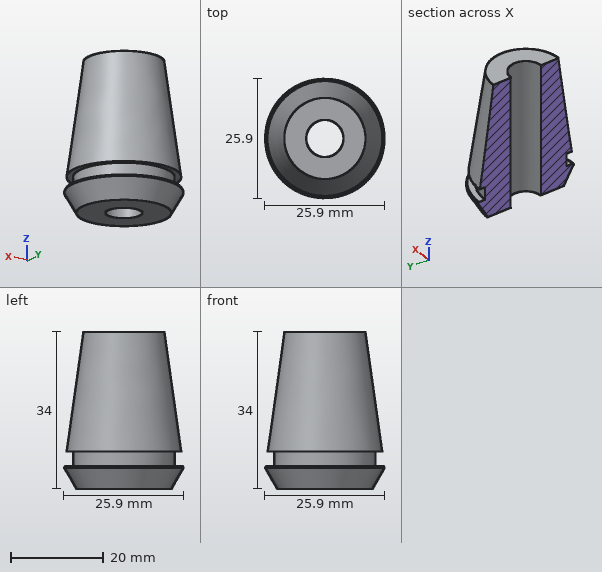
import cadquery as cq
import math

length = 34.0
bore_diameter = 8.0
groove_diameter = 22.0
collar_diameter = 25.86

collar_edge_z = 4.6
groove_bottom_z = 5.0
groove_top_z = 8.1

collar_chamfer_width = 0.25
taper_base_diameter = 24.85
taper_angle = 8.0
nose_angle = 30.0

bore_radius = bore_diameter / 2
groove_radius = groove_diameter / 2
collar_radius = collar_diameter / 2
collar_top_radius = collar_radius - collar_chamfer_width
taper_base_radius = taper_base_diameter / 2
taper_height = length - groove_top_z
top_radius = taper_base_radius - taper_height * math.tan(math.radians(taper_angle))
bottom_radius = collar_radius - collar_edge_z * math.tan(math.radians(nose_angle))

result = (
    cq.Workplane("XZ")
    .moveTo(bore_radius, 0)
    .lineTo(bottom_radius, 0)
    .lineTo(collar_radius, collar_edge_z)
    .lineTo(collar_top_radius, groove_bottom_z)
    .lineTo(groove_radius, groove_bottom_z)
    .lineTo(groove_radius, groove_top_z)
    .lineTo(taper_base_radius, groove_top_z)
    .lineTo(top_radius, length)
    .lineTo(bore_radius, length)
    .close()
    .revolve(360, (0, 0, 0), (0, 1, 0))
)